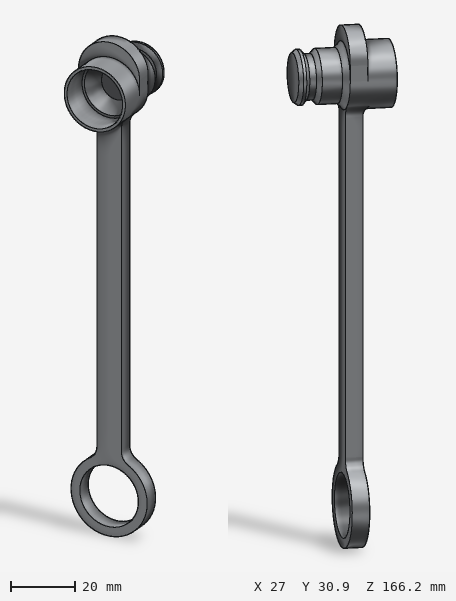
import cadquery as cq
import math

total_height = 166.2
total_depth = 30.9
strap_front = 9.5
strap_thickness = 5.7
strap_back = strap_front + strap_thickness
strap_half_width = 4.3
neck_radius = 5.0

ring_radius = 13.5
ring_hole_radius = 10.3

cap_radius = 10.8
tab_rise = 5.0
cap_z = total_height - ring_radius - tab_rise - cap_radius
root_fillet = 2.0

plug_radius = 8.8
groove_radius = 7.3
plug_start = 17.1
plug_end = 23.6
groove_start = 25.1
groove_end = 27.3
lip_start = 28.5
lip_end = 29.5
tip_radius = 7.8

bore_radius = 9.8
ledge_radius = 9.0
floor_radius = 5.7
bore_depth = 10.0
floor_depth = 15.1


def extrude_strap(sketch):
    """Extrude an XZ outline through the strap thickness."""
    return sketch.extrude(-strap_thickness)


def strap_plane():
    return cq.Workplane("XZ", origin=(0, strap_front, 0))


def revolve_profile(points):
    """Revolve (radius, depth) points about the cap axis."""
    profile = cq.Workplane("XY").polyline(points).close()
    return profile.revolve(360, (0, 0, 0), (0, 1, 0)).translate((0, 0, cap_z))


def neck_end(circle_radius):
    """Distance from a circle's centre to where its neck arcs meet the strap."""
    arc_centre_x = strap_half_width + neck_radius
    return math.sqrt((circle_radius + neck_radius) ** 2 - arc_centre_x**2)


def make_neck(circle_radius, centre_z, direction):
    """Web with concave sides that blends a circle into the strap."""
    end = neck_end(circle_radius)
    arc_centre_x = strap_half_width + neck_radius
    touch = circle_radius / (circle_radius + neck_radius)
    touch_x = arc_centre_x * touch
    touch_z = centre_z + direction * end * touch
    end_z = centre_z + direction * end
    sweep = math.atan2(end, arc_centre_x)
    middle_x = arc_centre_x - neck_radius * math.cos(sweep / 2)
    middle_z = end_z - direction * neck_radius * math.sin(sweep / 2)
    outline = (
        strap_plane()
        .moveTo(0, centre_z)
        .lineTo(touch_x, touch_z)
        .threePointArc((middle_x, middle_z), (strap_half_width, end_z))
        .lineTo(-strap_half_width, end_z)
        .threePointArc((-middle_x, middle_z), (-touch_x, touch_z))
        .close()
    )
    return extrude_strap(outline)


def make_strap():
    bar = extrude_strap(strap_plane().center(0, cap_z / 2).rect(2 * strap_half_width, cap_z))
    ring = extrude_strap(strap_plane().circle(ring_radius))
    hole = extrude_strap(strap_plane().circle(ring_hole_radius))
    necks = make_neck(ring_radius, 0, 1).union(make_neck(cap_radius, cap_z, -1))
    return bar.union(necks).union(ring).cut(hole)


def make_tab():
    """Grip tab: the cap outline raised and joined by straight sides."""
    top_z = cap_z + tab_rise
    sides = strap_plane().center(0, cap_z + tab_rise / 2).rect(2 * cap_radius, tab_rise)
    top = strap_plane().center(0, top_z).circle(cap_radius)
    return extrude_strap(sides).union(extrude_strap(top))


def make_cap():
    return revolve_profile([
        (0, 0),
        (cap_radius, 0),
        (cap_radius, strap_back),
        (plug_radius, plug_start),
        (plug_radius, plug_end),
        (groove_radius, groove_start),
        (groove_radius, groove_end),
        (plug_radius, lip_start),
        (plug_radius, lip_end),
        (tip_radius, total_depth),
        (0, total_depth),
    ])


def make_root_fillet():
    """Concave blend from the cap's side onto the front of the strap."""
    inset = root_fillet * (1 - math.sqrt(0.5))
    ring = (
        cq.Workplane("XY")
        .moveTo(0, strap_front - root_fillet)
        .lineTo(cap_radius, strap_front - root_fillet)
        .threePointArc(
            (cap_radius + inset, strap_front - inset),
            (cap_radius + root_fillet, strap_front),
        )
        .lineTo(0, strap_front)
        .close()
        .revolve(360, (0, 0, 0), (0, 1, 0))
        .translate((0, 0, cap_z))
    )
    footprint = make_neck(cap_radius, cap_z, -1).translate((0, -strap_thickness, 0))
    return ring.intersect(footprint)


def make_socket():
    return revolve_profile([
        (0, 0),
        (bore_radius, 0),
        (bore_radius, bore_depth),
        (ledge_radius, bore_depth),
        (floor_radius, floor_depth),
        (0, floor_depth),
    ])


body = make_strap().union(make_tab()).union(make_cap()).union(make_root_fillet())
result = body.cut(make_socket())